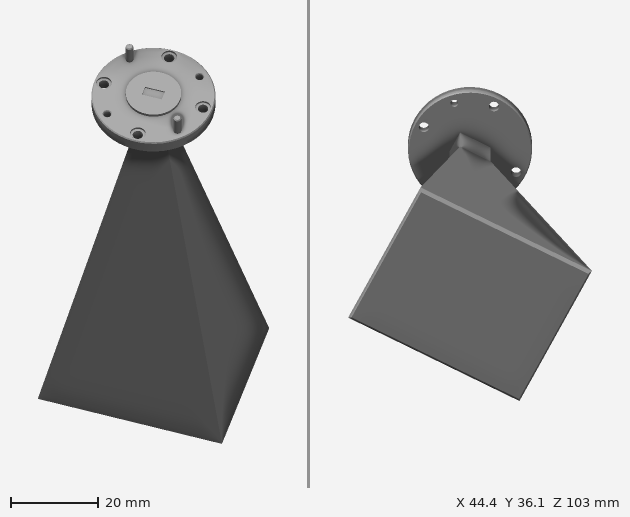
import cadquery as cq

total_height = 103.0

horn_length = 44.4
horn_width = 36.1
lip_height = 0.9
lip_inset_x = 0.5
lip_inset_y = 0.7
neck_length = 7.9
neck_width = 5.4
neck_bottom = 85.9

flange_diameter = 28.5
flange_bottom = 95.0
flange_thickness = 3.3
flange_top = flange_bottom + flange_thickness
flange_chamfer = 0.26
boss_diameter = 12.8
boss_height = 0.7
boss_top = flange_top + boss_height

window_length = 4.7
window_width = 2.4
window_depth = 0.3

bolt_circle_radius = 12.0
screw_hole_diameter = 2.4
counterbore_diameter = 3.6
counterbore_depth = 0.5
screw_hole_angles = (0, 90, 180, 270)
alignment_hole_diameter = 1.8
alignment_hole_chamfer = 0.2
alignment_hole_angles = (45, 225)
pin_diameter = 1.8
pin_chamfer = 0.26
pin_angles = (135, 315)


def tapered_block(bottom_z, bottom_size, top_z, top_size):
    """Rectangular frustum between two levels, centred on the Z axis."""
    return (
        cq.Workplane("XY", origin=(0, 0, bottom_z))
        .rect(*bottom_size)
        .workplane(offset=top_z - bottom_z)
        .rect(*top_size)
        .loft(ruled=True)
    )


def on_bolt_circle(shape, angle):
    """Move an axial shape out to the bolt circle at the given angle."""
    moved = shape.translate((bolt_circle_radius, 0, 0))
    return moved.rotate((0, 0, 0), (0, 0, 1), angle)


def flange_bore(diameter):
    """Cylinder through the full thickness of the flange."""
    return cq.Workplane("XY", origin=(0, 0, flange_bottom)).circle(diameter / 2).extrude(flange_thickness)


def make_horn_body():
    """Horn, neck and flat tapered lip around the mouth."""
    mouth_size = (horn_length - 2 * lip_inset_x, horn_width - 2 * lip_inset_y)
    widest_size = (horn_length, horn_width)
    neck_size = (neck_length, neck_width)
    lip = tapered_block(0, mouth_size, lip_height, widest_size)
    taper = tapered_block(lip_height, widest_size, neck_bottom, neck_size)
    neck = tapered_block(neck_bottom, neck_size, flange_bottom, neck_size)
    return lip.union(taper).union(neck)


def countersunk_bore(diameter, chamfer):
    """Through bore with a countersink at the top face of the flange."""
    countersink = cq.Solid.makeCone(
        diameter / 2,
        diameter / 2 + chamfer,
        chamfer,
        pnt=cq.Vector(0, 0, flange_top - chamfer),
    )
    return flange_bore(diameter).union(cq.Workplane(countersink))


def counterbored_bore(diameter):
    """Through bore with a shallow counterbore at the top face of the flange."""
    counterbore = (
        cq.Workplane("XY", origin=(0, 0, flange_top))
        .circle(counterbore_diameter / 2)
        .extrude(-counterbore_depth)
    )
    return flange_bore(diameter).union(counterbore)


def make_flange():
    """Chamfered disc with boss, window, screw holes, alignment holes and pin seats."""
    flange = flange_bore(flange_diameter).edges().chamfer(flange_chamfer)
    boss = cq.Workplane("XY", origin=(0, 0, flange_top)).circle(boss_diameter / 2).extrude(boss_height)
    window = (
        cq.Workplane("XY", origin=(0, 0, boss_top))
        .rect(window_length, window_width)
        .extrude(-window_depth)
    )
    flange = flange.union(boss).cut(window)

    screw_hole = counterbored_bore(screw_hole_diameter)
    for angle in screw_hole_angles:
        flange = flange.cut(on_bolt_circle(screw_hole, angle))
    alignment_hole = countersunk_bore(alignment_hole_diameter, alignment_hole_chamfer)
    for angle in alignment_hole_angles:
        flange = flange.cut(on_bolt_circle(alignment_hole, angle))
    pin_seat = flange_bore(pin_diameter)
    for angle in pin_angles:
        flange = flange.cut(on_bolt_circle(pin_seat, angle))
    return flange


def make_pin(angle):
    """Alignment pin seated through the flange, with a chamfered tip."""
    pin = (
        cq.Workplane("XY", origin=(0, 0, flange_bottom))
        .circle(pin_diameter / 2)
        .extrude(total_height - flange_bottom)
        .faces(">Z")
        .chamfer(pin_chamfer)
    )
    return on_bolt_circle(pin, angle)


antenna = make_horn_body().union(make_flange())
pins = [make_pin(angle) for angle in pin_angles]

result = cq.Compound.makeCompound([antenna.val(), *[pin.val() for pin in pins]])